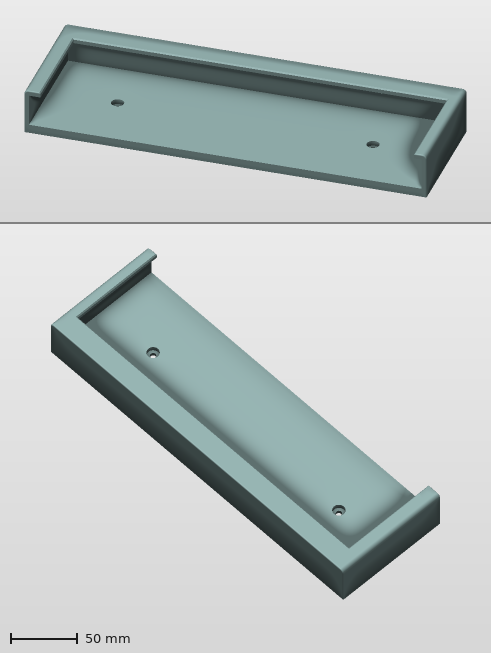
import cadquery as cq

length = 315.28
depth = 101.0
height = 36.4

wall = 4.0
floor_thickness = 7.0
lip_thickness = 4.0

left_lip = 13.0
right_lip = 10.0
back_lip = 18.7

side_top_radius = 3.5
edge_radius = 1.0
window_chamfer = 1.0

hole_spacing = 200.0
hole_from_front = 50.0
hole_diameter = 4.75
counterbore_diameter = 10.0
counterbore_depth = 4.0

front_y = -depth / 2
cavity_length = length - 2 * wall
cavity_depth = depth - wall
cavity_height = height - floor_thickness - lip_thickness
window_length = length - left_lip - right_lip
window_depth = depth - back_lip
window_center_x = (left_lip - right_lip) / 2


def front_open_block(center_x, size_x, size_y, bottom_z, size_z):
    """Block centred on center_x that starts at the front face and runs back."""
    return (
        cq.Workplane("XY", origin=(center_x, front_y, bottom_z))
        .box(size_x, size_y, size_z, centered=(True, False, False))
    )


def outer_body():
    """Solid block with rounded top side edges and rounded front and back outlines."""
    body = cq.Workplane("XY").box(length, depth, height, centered=(True, True, False))
    body = body.faces(">Z").edges("|Y").fillet(side_top_radius)
    return body.faces("<Y or >Y").edges("not <Z").fillet(edge_radius)


def cut_cavity(body):
    """Hollow out the space between floor and lip."""
    return body.cut(front_open_block(0, cavity_length, cavity_depth, floor_thickness, cavity_height))


def cut_window(body):
    """Cut the window through the lip and chamfer its upper rim."""
    lip_bottom = height - lip_thickness
    window = front_open_block(window_center_x, window_length, window_depth, lip_bottom, lip_thickness)
    flare = (
        cq.Workplane("XY", origin=(window_center_x, front_y, height - window_chamfer))
        .rect(window_length, 2 * window_depth)
        .workplane(offset=window_chamfer)
        .rect(window_length + 2 * window_chamfer, 2 * (window_depth + window_chamfer))
        .loft(ruled=True)
    )
    return body.cut(window).cut(flare)


def drill_screw_holes(body):
    """Drill the two counterbored holes through the floor."""
    hole_y = front_y + hole_from_front
    return (
        body.copyWorkplane(cq.Workplane("XY", origin=(0, hole_y, floor_thickness)))
        .pushPoints([(-hole_spacing / 2, 0), (hole_spacing / 2, 0)])
        .cboreHole(hole_diameter, counterbore_diameter, counterbore_depth, floor_thickness)
    )


result = drill_screw_holes(cut_window(cut_cavity(outer_body())))